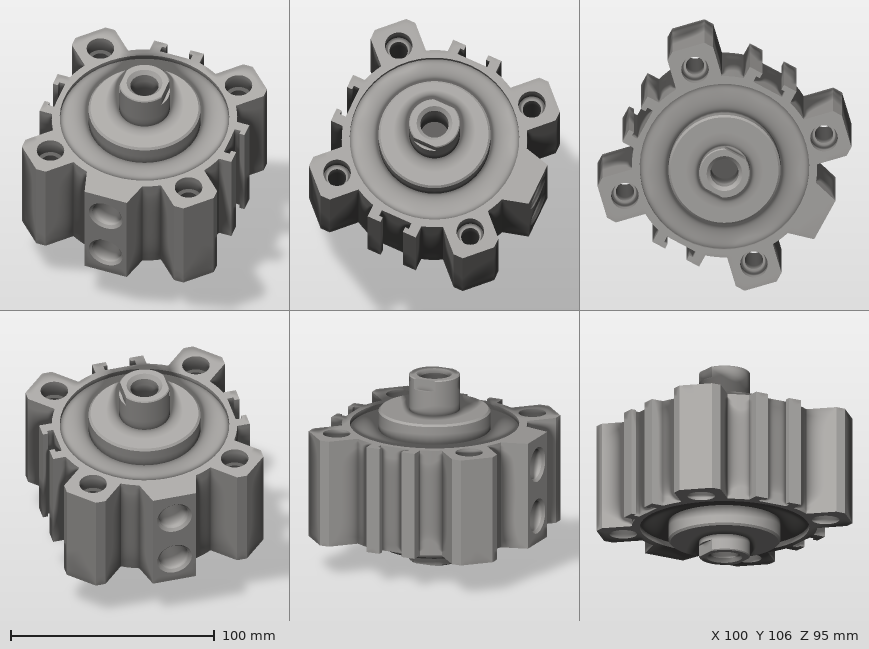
import cadquery as cq
import math

housing_length = 53.9
housing_width = 100.0
barrel_diameter = 91.0
half_width = housing_width / 2
housing_top = housing_length / 2

lug_width = 23.4
lug_reach = 62.5
mount_hole_offset = 36.0
mount_hole_diameter = 9.0
counterbore_diameter = 13.5
counterbore_depth = 8.5

slot_rail_width = 26.0
slot_mouth_width = 12.0
slot_inner_width = 16.0
slot_lip_thickness = 2.65
slot_depth = 5.75

port_face_y = -56.0
port_face_width = 22.0
port_flank_angle = 15.0
port_spacing = 26.5
port_diameter = 14.95
port_chamfer = 1.3
port_depth = 18.0

cover_recess_diameter = 83.2
cover_recess_depth = 2.5
boss_diameter = 55.0
boss_height = 7.5
boss_chamfer = 1.0
boss_end = housing_top + boss_height

rod_diameter = 25.0
rod_top_reach = 18.0
rod_bottom_reach = 8.1
rod_top = boss_end + rod_top_reach
rod_bottom = -boss_end - rod_bottom_reach
rod_chamfer = 0.5
flat_distance = 22.0
flat_length = 5.6
rod_hole_diameter = 13.84
rod_hole_chamfer = 1.82
rod_hole_depth = 20.0


def prism(sketch_points):
    """Extrude a closed outline over the full length of the housing."""
    return (
        cq.Workplane("XY", origin=(0, 0, -housing_top))
        .polyline(sketch_points)
        .close()
        .extrude(housing_length)
    )


def block(width, y_start, y_end):
    """Full-length block centred on X = 0, between two Y positions."""
    return prism([
        (-width / 2, y_start),
        (width / 2, y_start),
        (width / 2, y_end),
        (-width / 2, y_end),
    ])


def lug_pair():
    """Bar along X, cut to the flat ends of two opposite lugs."""
    return cq.Workplane("XY").box(2 * lug_reach, lug_width, housing_length)


def port_block():
    """Tapered block that carries the two ports."""
    face_half = port_face_width / 2
    root_half = face_half + abs(port_face_y) * math.tan(math.radians(port_flank_angle))
    return prism([
        (-face_half, port_face_y),
        (face_half, port_face_y),
        (root_half, 0),
        (-root_half, 0),
    ])


def slot_cutter():
    """T-shaped slot opening on the +Y side."""
    lip_y = half_width - slot_lip_thickness
    floor_y = half_width - slot_depth
    mouth = block(slot_mouth_width, floor_y, half_width)
    return mouth.union(block(slot_inner_width, floor_y, lip_y))


def hole_cutter(diameter, depth, chamfer):
    """Blind hole from Z = 0 down to -depth, with a 45 degree chamfer at its mouth."""
    radius = diameter / 2
    return (
        cq.Workplane("XZ")
        .polyline([
            (0, 0),
            (radius + chamfer, 0),
            (radius, -chamfer),
            (radius, -depth),
            (0, -depth),
        ])
        .close()
        .revolve(360, (0, 0, 0), (0, 1, 0))
    )


def mount_holes():
    """Four through holes, counterbored at both ends."""
    positions = cq.Workplane("XY", origin=(0, 0, -housing_top)).rect(
        2 * mount_hole_offset, 2 * mount_hole_offset, forConstruction=True
    ).vertices()
    holes = positions.circle(mount_hole_diameter / 2).extrude(housing_length)
    for start in (-housing_top, housing_top - counterbore_depth):
        counterbores = (
            cq.Workplane("XY", origin=(0, 0, start))
            .rect(2 * mount_hole_offset, 2 * mount_hole_offset, forConstruction=True)
            .vertices()
            .circle(counterbore_diameter / 2)
            .extrude(counterbore_depth)
        )
        holes = holes.union(counterbores)
    return holes


def make_housing():
    barrel = cq.Workplane("XY").circle(barrel_diameter / 2).extrude(housing_top, both=True)

    lugs = lug_pair().union(lug_pair().rotate((0, 0, 0), (0, 0, 1), 90))
    lugs = lugs.rotate((0, 0, 0), (0, 0, 1), 45)
    square = cq.Workplane("XY").box(housing_width, housing_width, housing_length)
    housing = barrel.union(lugs.intersect(square)).union(port_block())

    for angle in (0, 90, -90):
        rail = block(slot_rail_width, 0, half_width)
        housing = housing.union(rail.rotate((0, 0, 0), (0, 0, 1), angle))
    for angle in (0, 90, -90):
        housing = housing.cut(slot_cutter().rotate((0, 0, 0), (0, 0, 1), angle))

    housing = housing.cut(mount_holes())

    for port_z in (-port_spacing / 2, port_spacing / 2):
        port = hole_cutter(port_diameter, port_depth, port_chamfer)
        port = port.rotate((0, 0, 0), (1, 0, 0), 90)
        housing = housing.cut(port.translate((0, port_face_y, port_z)))

    for start in (-housing_top, housing_top - cover_recess_depth):
        recess = (
            cq.Workplane("XY", origin=(0, 0, start))
            .circle(cover_recess_diameter / 2)
            .extrude(cover_recess_depth)
        )
        housing = housing.cut(recess)

    bosses = (
        cq.Workplane("XY")
        .circle(boss_diameter / 2)
        .extrude(boss_end, both=True)
        .edges("%CIRCLE")
        .chamfer(boss_chamfer)
    )
    housing = housing.union(bosses)

    rod_bore = cq.Workplane("XY").circle(rod_diameter / 2).extrude(boss_end, both=True)
    return housing.cut(rod_bore)


def make_rod():
    rod = (
        cq.Workplane("XY", origin=(0, 0, rod_bottom))
        .circle(rod_diameter / 2)
        .extrude(rod_top - rod_bottom)
        .edges("%CIRCLE")
        .chamfer(rod_chamfer)
    )

    flat_depth = (rod_diameter - flat_distance) / 2
    for flat_z in (rod_top - flat_length / 2, rod_bottom + flat_length / 2):
        for side in (-1, 1):
            flat = cq.Workplane("XY").box(flat_depth, rod_diameter, flat_length)
            flat_x = side * (flat_distance + flat_depth) / 2
            rod = rod.cut(flat.translate((flat_x, 0, flat_z)))

    hole = hole_cutter(rod_hole_diameter, rod_hole_depth, rod_hole_chamfer)
    rod = rod.cut(hole.translate((0, 0, rod_top)))
    lower_hole = hole.rotate((0, 0, 0), (1, 0, 0), 180)
    return rod.cut(lower_hole.translate((0, 0, rod_bottom)))


housing = make_housing()
rod = make_rod()

result = cq.Compound.makeCompound([housing.val(), rod.val()])